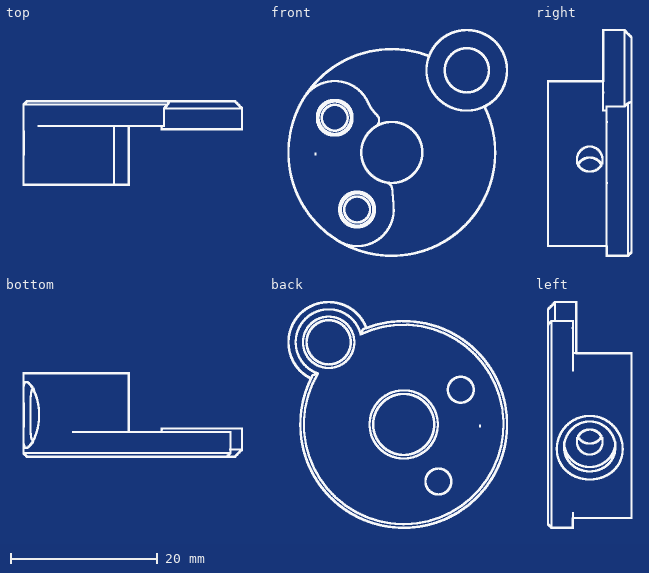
import cadquery as cq
import math


disc_radius = 14.1
disc_thickness = 3.41
disc_back_chamfer = 0.5
bore_radius = 8.3 / 2

ring_center = (10.22, 11.19)
ring_radius = 11 / 2
ring_hole_radius = 6 / 2
ring_thickness = 3.87
ring_back_chamfer = 1.0
ring_hole_back_chamfer = 0.5

boss_height = 8.0
boss_top = disc_thickness + boss_height
clearance_margin = 5.0
clearance_radius = disc_radius + clearance_margin
boss_axis_angle = 193.7
lobe_half_angle = 45.0
lobe_radius = 5.0
lobe_distance = disc_radius - lobe_radius

tip_radius = 1.0
upper_tip_angle = 121.9
lower_tip_angle = 259.5
hollow_radius = 5.0

lobe_hole_radius = 3.5 / 2
socket_mouth_radius = 4.9 / 2
socket_floor_radius = 4.4 / 2
socket_depth = boss_height

radial_hole_radius = 3.5 / 2
counterbore_radius = 7.0 / 2
counterbore_floor_distance = 10.15
counterbore_chamfer = 1.0
radial_hole_y = -boss_top / 2


def polar(radius, angle, center=(0, 0)):
    """Point at a radius and an angle in degrees around a center."""
    turn = math.radians(angle)
    return (center[0] + radius * math.cos(turn), center[1] + radius * math.sin(turn))


def direction(start, end):
    """Angle in degrees of the line from start to end."""
    return math.degrees(math.atan2(end[1] - start[1], end[0] - start[0]))


def apex_angle(side_a, side_b, opposite):
    """Angle in degrees between two triangle sides, from the three lengths."""
    cosine = (side_a**2 + side_b**2 - opposite**2) / (2 * side_a * side_b)
    return math.degrees(math.acos(cosine))


def cylinder(center, radius, y_start, length):
    """Cylinder along -Y that starts at the given Y."""
    plane = cq.Workplane("XZ", origin=(0, y_start, 0))
    return plane.center(*center).circle(radius).extrude(length)


upper_lobe_angle = boss_axis_angle - lobe_half_angle
lower_lobe_angle = boss_axis_angle + lobe_half_angle
upper_lobe = polar(lobe_distance, upper_lobe_angle)
lower_lobe = polar(lobe_distance, lower_lobe_angle)


def make_blank():
    """Full-height bored cylinder, chamfered inside and outside at the back."""
    blank = cylinder((0, 0), disc_radius, 0, boss_top)
    blank = blank.cut(cylinder((0, 0), bore_radius, 0, boss_top))
    return blank.faces(">Y").edges().chamfer(disc_back_chamfer)


def make_ring():
    """Eyelet disc, chamfered at the back and still without its hole."""
    ring = cylinder(ring_center, ring_radius, 0, ring_thickness)
    return ring.faces(">Y").edges().chamfer(ring_back_chamfer)


def cut_ring_hole(body):
    """Through hole of the eyelet, widened by a chamfer at the back."""
    countersink = (
        cq.Workplane("XZ")
        .center(*ring_center)
        .circle(ring_hole_radius + ring_hole_back_chamfer)
        .workplane(offset=ring_hole_back_chamfer)
        .circle(ring_hole_radius)
        .loft()
    )
    return body.cut(cylinder(ring_center, ring_hole_radius, 0, ring_thickness)).cut(countersink)


def boss_surroundings():
    """Space in front of the disc that the boss leaves open."""
    upper_tip = polar(bore_radius + tip_radius, upper_tip_angle)
    lower_tip = polar(bore_radius + tip_radius, lower_tip_angle)

    to_lobe = lobe_radius + hollow_radius
    to_tip = tip_radius + hollow_radius
    turn = apex_angle(to_lobe, math.dist(upper_lobe, upper_tip), to_tip)
    hollow_start_angle = direction(upper_lobe, upper_tip) + turn
    hollow = polar(to_lobe, hollow_start_angle, upper_lobe)
    hollow_start = polar(lobe_radius, hollow_start_angle, upper_lobe)
    hollow_end_angle = direction(upper_tip, hollow)
    hollow_end = polar(tip_radius, hollow_end_angle, upper_tip)
    hollow_middle_angle = (direction(hollow, hollow_start) + direction(hollow, hollow_end)) / 2
    hollow_middle = polar(hollow_radius, hollow_middle_angle, hollow)

    lean = math.acos((lobe_radius - tip_radius) / math.dist(lower_lobe, lower_tip))
    flank_angle = direction(lower_lobe, lower_tip) - math.degrees(lean)

    upper_lobe_middle = (upper_lobe_angle + hollow_start_angle) / 2
    upper_tip_middle = (upper_tip_angle - 180 + hollow_end_angle) / 2
    lower_tip_middle = (lower_tip_angle - 180 + flank_angle) / 2
    lower_lobe_middle = (lower_lobe_angle - 360 + flank_angle) / 2

    outline = (
        cq.Workplane("XZ", origin=(0, -disc_thickness, 0))
        .moveTo(*polar(disc_radius, upper_lobe_angle))
        .threePointArc(polar(lobe_radius, upper_lobe_middle, upper_lobe), hollow_start)
        .threePointArc(hollow_middle, hollow_end)
        .threePointArc(
            polar(tip_radius, upper_tip_middle, upper_tip),
            polar(bore_radius, upper_tip_angle),
        )
        .threePointArc(polar(bore_radius, boss_axis_angle), polar(bore_radius, lower_tip_angle))
        .threePointArc(
            polar(tip_radius, lower_tip_middle, lower_tip),
            polar(tip_radius, flank_angle, lower_tip),
        )
        .lineTo(*polar(lobe_radius, flank_angle, lower_lobe))
        .threePointArc(
            polar(lobe_radius, lower_lobe_middle, lower_lobe),
            polar(disc_radius, lower_lobe_angle),
        )
        .lineTo(*polar(clearance_radius, lower_lobe_angle))
        .threePointArc(
            polar(clearance_radius, boss_axis_angle - 180),
            polar(clearance_radius, upper_lobe_angle),
        )
        .close()
    )
    return outline.extrude(boss_height)


def cut_lobe_hole(body, center):
    """Through hole with a socket that tapers from the boss face to its floor."""
    socket = (
        cq.Workplane("XZ", origin=(0, -boss_top, 0))
        .center(*center)
        .circle(socket_mouth_radius)
        .workplane(offset=-socket_depth)
        .circle(socket_floor_radius)
        .loft()
    )
    return body.cut(cylinder(center, lobe_hole_radius, 0, boss_top)).cut(socket)


def cut_radial_hole(body):
    """Hole from the rim to the bore, with a chamfered counterbore."""
    outward = polar(1, boss_axis_angle)
    normal = cq.Vector(outward[0], 0, outward[1])
    floor_center = normal * counterbore_floor_distance + cq.Vector(0, radial_hole_y, 0)
    plane = cq.Plane(origin=floor_center, xDir=(0, 1, 0), normal=normal)
    counterbore = cq.Workplane(plane).circle(counterbore_radius).extrude(disc_radius)
    hole = cq.Workplane(plane).circle(radial_hole_radius).extrude(-counterbore_floor_distance)
    body = body.cut(counterbore)
    rim = [edge for edge in body.edges().vals() if edge.geomType() not in ("LINE", "CIRCLE")]
    body = body.newObject(rim).chamfer(counterbore_chamfer)
    return body.cut(hole)


body = make_blank().cut(boss_surroundings())
body = cut_radial_hole(body)
for lobe in (upper_lobe, lower_lobe):
    body = cut_lobe_hole(body, lobe)
body = body.union(make_ring())
result = cut_ring_hole(body)